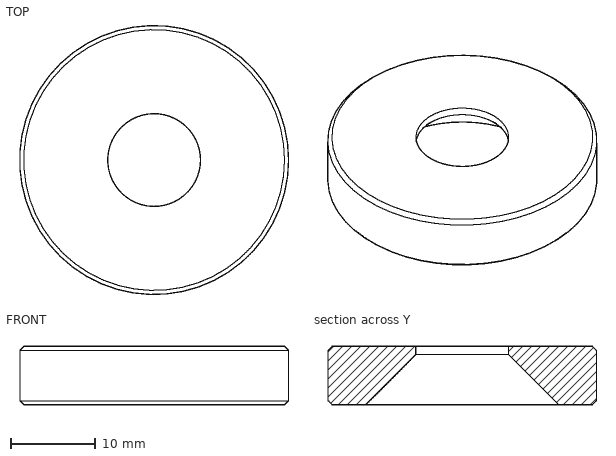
import cadquery as cq

outer_diameter = 32.0
thickness = 7.0
edge_chamfer = 0.5

bore_diameter = 11.0
bore_length = 1.0
seat_diameter = 23.0


def half_section():
    """Radius-height profile of the washer, with its underside at height zero."""
    outer_radius = outer_diameter / 2
    bore_radius = bore_diameter / 2
    seat_radius = seat_diameter / 2
    return (
        cq.Workplane("XZ")
        .moveTo(seat_radius, 0)
        .lineTo(outer_radius - edge_chamfer, 0)
        .lineTo(outer_radius, edge_chamfer)
        .lineTo(outer_radius, thickness - edge_chamfer)
        .lineTo(outer_radius - edge_chamfer, thickness)
        .lineTo(bore_radius, thickness)
        .lineTo(bore_radius, thickness - bore_length)
        .close()
    )


result = half_section().revolve(360, (0, 0, 0), (0, 1, 0))